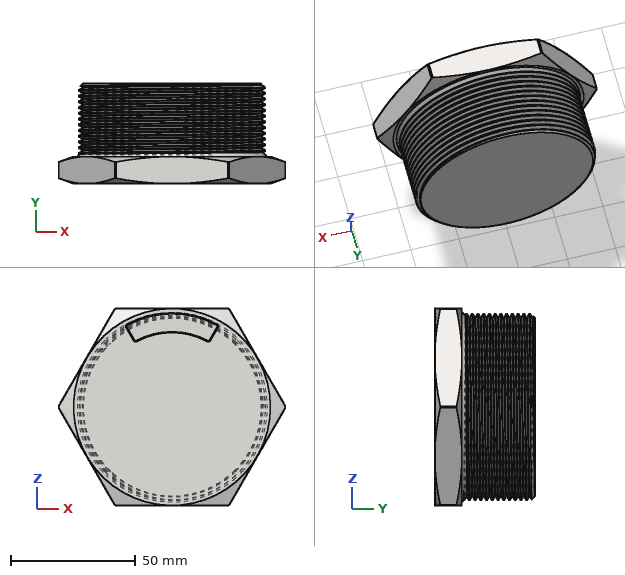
import cadquery as cq
import math

ACROSS_FLATS = 79.5
ACROSS_CORNERS = 91.4
HEAD_LENGTH = 11.0
FACE_DIAMETER = 79.3
CORNER_CHAMFER_ANGLE = 20.0

TOTAL_LENGTH = 40.5
CREST_DIAMETER = 75.2
ROOT_DIAMETER = 72.2
THREAD_PITCH = 25.4 / 11
CREST_FLAT = 0.4
ROOT_FLAT = 0.4
CREST_POSITION = 36.5
END_DIAMETER = 71.7
COLLAR_DIAMETER = 76.6

PANEL_INNER_RADIUS = 30.0
PANEL_OUTER_RADIUS = 37.9
PANEL_HALF_ANGLE = 30.0
PANEL_DEPTH = 0.5
PANEL_WALL_SPREAD = 0.4
PANEL_CORNER_RADIUS = 0.9

EMBEDMENT = 0.9


def revolve_about_y(profile):
    """Turn a closed (radius, y) outline about the part axis."""
    return cq.Workplane("XY").polyline(profile).close().revolve(360, (0, 0, 0), (0, 1, 0))


def hex_head():
    hexagon_diameter = ACROSS_FLATS / math.cos(math.radians(30))
    head = cq.Workplane("XZ").polygon(6, hexagon_diameter).extrude(-HEAD_LENGTH)
    face_radius = FACE_DIAMETER / 2
    corner_radius = ACROSS_CORNERS / 2
    chamfer_length = (corner_radius - face_radius) * math.tan(math.radians(CORNER_CHAMFER_ANGLE))
    envelope = revolve_about_y([
        (0, 0),
        (face_radius, 0),
        (corner_radius, chamfer_length),
        (corner_radius, HEAD_LENGTH - chamfer_length),
        (face_radius, HEAD_LENGTH),
        (0, HEAD_LENGTH),
    ])
    return head.intersect(envelope)


def helix_turn(radius, height):
    """One helical turn about Z that starts on the +X side at the given height."""
    turn = cq.Wire.makeHelix(THREAD_PITCH, THREAD_PITCH, radius)
    return turn.translate(cq.Vector(0, 0, height)).Edges()[0]


def threaded_rod(turns):
    """Solid threaded rod along +Z, with a full crest at z = 0 on the +X side.

    Each turn is four helical strips: flank, root, flank and crest. Both ends are
    closed by one turn of helicoid that reaches the axis and by the flat step it leaves.
    """
    crest_radius = CREST_DIAMETER / 2
    root_radius = ROOT_DIAMETER / 2
    flank_start = CREST_FLAT / 2
    flank_length = (THREAD_PITCH - CREST_FLAT - ROOT_FLAT) / 2
    flank_end = flank_start + flank_length
    profile = [
        (crest_radius, -flank_start),
        (crest_radius, flank_start),
        (root_radius, flank_end),
        (root_radius, flank_end + ROOT_FLAT),
        (crest_radius, THREAD_PITCH - flank_start),
    ]

    faces = []
    for turn in range(turns):
        base = turn * THREAD_PITCH
        for (radius_a, height_a), (radius_b, height_b) in zip(profile, profile[1:]):
            lower = helix_turn(radius_a, base + height_a)
            upper = helix_turn(radius_b, base + height_b)
            faces.append(cq.Face.makeRuledSurface(lower, upper))

    for base in (0, turns * THREAD_PITCH):
        axis_bottom = cq.Vector(0, 0, base - flank_start)
        axis_top = axis_bottom + cq.Vector(0, 0, THREAD_PITCH)
        axis = cq.Edge.makeLine(axis_bottom, axis_top)
        faces.append(cq.Face.makeRuledSurface(axis, helix_turn(crest_radius, base - flank_start)))
        rim = [cq.Vector(radius, 0, base + height) for radius, height in profile]
        step = cq.Wire.makePolygon([axis_bottom, *rim, axis_top], close=True)
        faces.append(cq.Face.makeFromWires(step))

    return cq.Workplane(cq.Solid.makeSolid(cq.Shell.makeShell(faces)))


def threaded_shank():
    crest_radius = CREST_DIAMETER / 2
    root_radius = ROOT_DIAMETER / 2
    end_radius = END_DIAMETER / 2
    collar_radius = COLLAR_DIAMETER / 2
    shank_start = HEAD_LENGTH - EMBEDMENT

    turns_before = math.ceil((CREST_POSITION - shank_start) / THREAD_PITCH) + 2
    turns_after = math.ceil((TOTAL_LENGTH - CREST_POSITION) / THREAD_PITCH) + 1
    rod_start = CREST_POSITION - turns_before * THREAD_PITCH
    rod = threaded_rod(turns_before + turns_after)
    rod = rod.rotate((0, 0, 0), (1, 0, 0), -90).translate((0, rod_start, 0))

    envelope_radius = ACROSS_CORNERS / 2
    envelope = revolve_about_y([
        (0, shank_start),
        (envelope_radius, shank_start),
        (envelope_radius, TOTAL_LENGTH - (envelope_radius - end_radius)),
        (end_radius, TOTAL_LENGTH),
        (0, TOTAL_LENGTH),
    ])

    flare_end_radius = root_radius - (crest_radius - root_radius)
    flare_end = HEAD_LENGTH + collar_radius - flare_end_radius
    collar = revolve_about_y([
        (0, shank_start),
        (collar_radius, shank_start),
        (collar_radius, HEAD_LENGTH),
        (flare_end_radius, flare_end),
        (0, flare_end),
    ])
    return rod.intersect(envelope).union(collar)


def panel_corner(radius, side, inset):
    """Point at the given radius on a panel side (-1 left, 1 right) moved inward by inset."""
    turn = math.radians(PANEL_HALF_ANGLE)
    along = math.sqrt(radius**2 - inset**2)
    x = along * math.sin(turn) - inset * math.cos(turn)
    z = along * math.cos(turn) + inset * math.sin(turn)
    return (side * x, z)


def panel_outline(inset):
    """Rounded ring sector, drawn in by inset on all sides."""
    inner = PANEL_INNER_RADIUS + inset
    outer = PANEL_OUTER_RADIUS - inset
    inner_left = panel_corner(inner, -1, inset)
    inner_right = panel_corner(inner, 1, inset)
    outer_left = panel_corner(outer, -1, inset)
    outer_right = panel_corner(outer, 1, inset)
    return (
        cq.Sketch()
        .segment(inner_left, outer_left)
        .arc(outer_left, (0, outer), outer_right)
        .segment(outer_right, inner_right)
        .arc(inner_right, (0, inner), inner_left)
        .assemble()
        .vertices()
        .fillet(PANEL_CORNER_RADIUS - inset)
    )


def label_panel():
    rim = panel_outline(0)
    floor = panel_outline(PANEL_WALL_SPREAD).moved(cq.Location(cq.Vector(0, 0, -PANEL_DEPTH)))
    return cq.Workplane("XZ").placeSketch(rim, floor).loft()


result = hex_head().union(threaded_shank()).cut(label_panel())